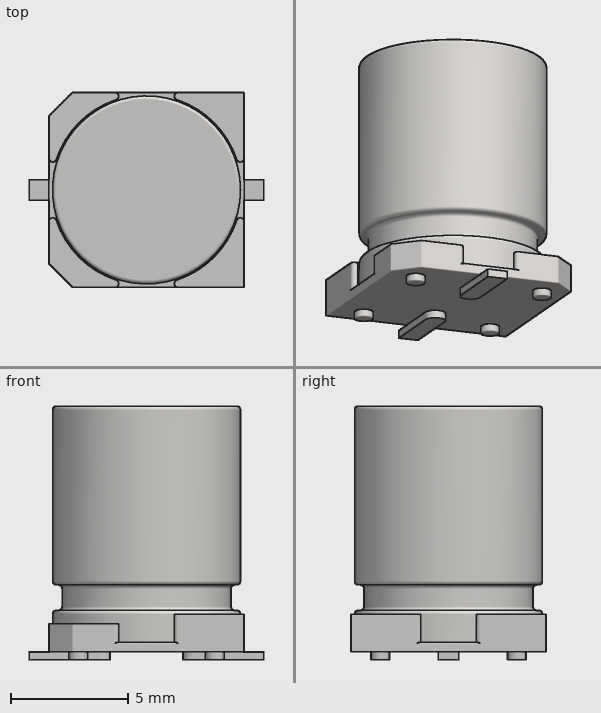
import cadquery as cq
import math

total_height = 10.8
lead_span = 10.0

can_radius = 8.0 / 2
neck_radius = 7.2 / 2
can_round = 0.16
groove_bottom = 2.11
groove_top = 3.19

base_width = 8.3
base_bottom = 0.33
floor_top = 0.75
low_corner_top = 1.54
high_corner_top = 1.94
corner_chamfer = 1.0
seat_radius = 4.05
tip_radius = 0.16
edge_round = 0.05

lead_width = 0.89
lead_inner_end = 1.54
foot_diameter = 0.8
foot_offset = 2.9

half_width = base_width / 2
corner_start = (base_bottom + floor_top) / 2


def build_can():
    """Revolve the can outline, with all its edges rounded by the same radius."""
    r = can_round
    return (
        cq.Workplane("XZ")
        .moveTo(0, floor_top)
        .lineTo(can_radius, floor_top)
        .lineTo(can_radius, groove_bottom - r)
        .radiusArc((can_radius - r, groove_bottom), -r)
        .lineTo(neck_radius + r, groove_bottom)
        .radiusArc((neck_radius, groove_bottom + r), r)
        .lineTo(neck_radius, groove_top - r)
        .radiusArc((neck_radius + r, groove_top), r)
        .lineTo(can_radius - r, groove_top)
        .radiusArc((can_radius, groove_top + r), -r)
        .lineTo(can_radius, total_height - r)
        .radiusArc((can_radius - r, total_height), -r)
        .lineTo(0, total_height)
        .close()
        .revolve(360, (0, 0, 0), (0, 1, 0))
    )


def build_floor():
    """Floor plate with its two -X corners cut off and all its edges rounded."""
    return (
        cq.Workplane("XY", origin=(0, 0, base_bottom))
        .rect(base_width, base_width)
        .extrude(floor_top - base_bottom)
        .edges("|Z and <X")
        .chamfer(corner_chamfer)
        .edges()
        .fillet(edge_round)
    )


def build_corner(top, is_cut):
    """Raised +X +Y corner; each tip is a round tangent to the wall and to the can seat."""
    tip_wall_offset = half_width - tip_radius
    tip_center = math.sqrt((seat_radius + tip_radius) ** 2 - tip_wall_offset**2)
    seat_share = seat_radius / (seat_radius + tip_radius)
    tip_end = tip_center - tip_radius
    seat_near = tip_center * seat_share
    seat_far = tip_wall_offset * seat_share
    seat_middle = seat_radius / math.sqrt(2)

    outline = cq.Workplane("XY", origin=(0, 0, corner_start)).moveTo(tip_center, half_width)
    if is_cut:
        outline = outline.lineTo(half_width - corner_chamfer, half_width)
        outline = outline.lineTo(half_width, half_width - corner_chamfer)
    else:
        outline = outline.lineTo(half_width, half_width)
    block = (
        outline.lineTo(half_width, tip_center)
        .threePointArc((tip_wall_offset, tip_end), (seat_far, seat_near))
        .threePointArc((seat_middle, seat_middle), (seat_near, seat_far))
        .threePointArc((tip_end, tip_wall_offset), (tip_center, half_width))
        .close()
        .extrude(top - corner_start)
    )
    outer_rounded = block.edges("|Z and >(1, 1, 0)").fillet(edge_round)
    return outer_rounded.faces(">Z").edges().fillet(edge_round)


def build_lead():
    """Flat +X lead with a half-round inner end."""
    round_center = lead_inner_end + lead_width / 2
    outer_end = lead_span / 2
    half_lead = lead_width / 2
    return (
        cq.Workplane("XY")
        .moveTo(outer_end, -half_lead)
        .lineTo(outer_end, half_lead)
        .lineTo(round_center, half_lead)
        .threePointArc((lead_inner_end, 0), (round_center, -half_lead))
        .close()
        .extrude(base_bottom)
    )


def build_feet():
    """Four short pegs with both rims rounded."""
    return (
        cq.Workplane("XY")
        .rect(2 * foot_offset, 2 * foot_offset, forConstruction=True)
        .vertices()
        .circle(foot_diameter / 2)
        .extrude(base_bottom)
        .edges()
        .fillet(edge_round)
    )


high_corner = build_corner(high_corner_top, is_cut=False)
low_corner = build_corner(low_corner_top, is_cut=True).mirror("YZ")
lead = build_lead()

result = build_floor().union(build_can())
for corner in (high_corner, low_corner):
    result = result.union(corner).union(corner.mirror("XZ"))
result = result.union(lead).union(lead.mirror("YZ")).union(build_feet())